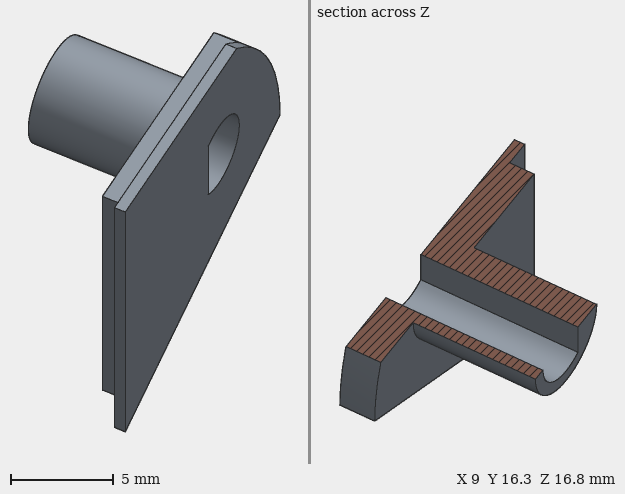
import cadquery as cq
import math

plate_width = 16.3
plate_height = 16.75
corner_height = 6.85
arc_radius = 13.0

tube_length = 7.0
step_thickness = 1.4
flange_thickness = 0.6
flange_margin = 1.4

tube_y = 9.85
tube_z = 10.63
tube_radius = 2.86
bore_radius = 2.15
bore_flat_offset = 1.1

step_x = tube_length
flange_x = step_x + step_thickness
total_depth = flange_x + flange_thickness

arc_center_y = plate_width - arc_radius
arc_center_z = corner_height


def arc_point(angle):
    """Point on the curved edge at an angle (radians) above the +Y direction."""
    return (
        arc_center_y + arc_radius * math.cos(angle),
        arc_center_z + arc_radius * math.sin(angle),
    )


def plate(margin, x_start, thickness):
    """Plate with its top and straight side moved inwards by margin."""
    top_z = plate_height - margin
    bottom_z = corner_height * margin / plate_width
    arc_end_angle = math.asin((top_z - arc_center_z) / arc_radius)
    return (
        cq.Workplane("YZ", origin=(x_start, 0, 0))
        .moveTo(margin, bottom_z)
        .lineTo(plate_width, corner_height)
        .threePointArc(arc_point(arc_end_angle / 2), arc_point(arc_end_angle))
        .lineTo(margin, top_z)
        .close()
        .extrude(thickness)
    )


def tube():
    """Solid round tube body, reaching from its tip to the step."""
    return cq.Workplane("YZ").center(tube_y, tube_z).circle(tube_radius).extrude(tube_length)


def d_bore():
    """D-shaped bore through the whole part, with its flat on the -Y side."""
    flat_half_height = math.sqrt(bore_radius**2 - bore_flat_offset**2)
    return (
        cq.Workplane("YZ")
        .center(tube_y, tube_z)
        .moveTo(-bore_flat_offset, -flat_half_height)
        .threePointArc((bore_radius, 0), (-bore_flat_offset, flat_half_height))
        .close()
        .extrude(total_depth)
    )


flange = plate(0, flange_x, flange_thickness)
step = plate(flange_margin, step_x, step_thickness)

result = flange.union(step).union(tube()).cut(d_bore())